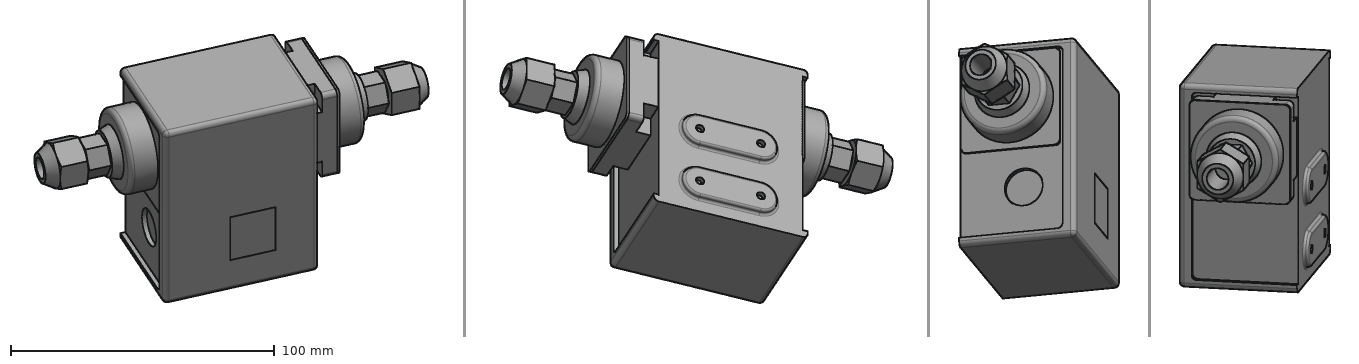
import cadquery as cq
import math


housing_left = -20.0
housing_width = 45.9
housing_depth = 63.0
housing_top = 23.0
housing_height = 80.0
edge_radius = 2.0

housing_right = housing_left + housing_width
housing_bottom = housing_top - housing_height
housing_face = housing_depth / 2

recess_depth = 2.0
recess_lip = 3.3
recess_lip_right = 5.0
recess_corner_radius = 2.0
recess_floor = housing_face - recess_depth

blind_hole_diameter = 15.0
blind_hole_depth = 2.0
blind_hole_x = 5.0
blind_hole_z = -35.1

pad_round_spacing = 25.0
pad_top_radius = 6.0
pad_edge_radius = 1.01
pad_y = 1.0
pad_heights = (-19.0, -44.0)
pad_height = 2 * pad_edge_radius
pad_hole_diameter = 3.3

plate_width = 18.4
plate_height = 20.0
plate_thickness = 0.1
plate_y = 4.7
plate_z = -32.9

flange_side = 39.0
flange_corner_radius = 2.0
flange_thickness = 1.01
block_depth = 12.0
notch_side = 8.0
notch_depth = 6.0

barrel_diameter = 34.0
barrel_length = 11.5
barrel_edge_radius = 2.0
collar_base_diameter = 21.5
collar_end_diameter = 18.4
collar_length = 4.0
shank_flats = 14.0
shank_length = 8.9
neck_diameter = 11.0
neck_length = 0.8
nut_flats = 18.0
nut_length = 11.4
nut_chamfer_length = 0.5
tip_diameter = 12.0
tip_length = 4.8
port_diameter = 8.5
port_depth = nut_length + tip_length

core_diameter = collar_base_diameter
front_flange_y = -recess_floor
back_flange_y = recess_floor + block_depth


def flange_plate(inner_y, thickness):
    """Square plate with rounded corners, reaching from inner_y towards +Y."""
    return (
        cq.Workplane("XZ", origin=(0, inner_y, 0))
        .rect(flange_side, flange_side)
        .extrude(-thickness)
        .edges("|Y")
        .fillet(flange_corner_radius)
    )


def rod(diameter, start_y, length):
    """Cylinder on the valve axis, reaching from start_y towards +Y."""
    return cq.Workplane("XZ", origin=(0, start_y, 0)).circle(diameter / 2).extrude(-length)


def cone(base_diameter, end_diameter, start_y, length):
    """Truncated cone on the valve axis, reaching from start_y towards +Y."""
    return cq.Workplane(
        cq.Solid.makeCone(
            base_diameter / 2, end_diameter / 2, length, cq.Vector(0, start_y, 0), cq.Vector(0, 1, 0)
        )
    )


def hexagon(flats, start_y, length):
    """Hexagonal prism with corners on the X axis, reaching from start_y towards +Y."""
    corners = flats / math.cos(math.pi / 6)
    return cq.Workplane("XZ", origin=(0, start_y, 0)).polygon(6, corners).extrude(-length)


def housing_recess(side):
    """Cutter for the recess in the front (side = -1) or back (side = 1) face."""
    width = housing_width - recess_lip_right
    height = housing_height - 2 * recess_lip
    return (
        cq.Workplane("XY")
        .box(width, recess_depth, height)
        .edges("|Y and >X")
        .fillet(recess_corner_radius)
        .translate((
            housing_left + width / 2,
            side * (housing_face - recess_depth / 2),
            housing_bottom + housing_height / 2,
        ))
    )


def mounting_block():
    """Block behind the housing with its four inner corners notched."""
    block = flange_plate(recess_floor, block_depth)
    corner = (flange_side - notch_side) / 2
    notches = (
        cq.Workplane("XZ", origin=(0, recess_floor, 0))
        .rect(2 * corner, 2 * corner, forConstruction=True)
        .vertices()
        .rect(notch_side, notch_side)
        .extrude(-notch_depth)
    )
    return block.cut(notches)


def raised_pad(z):
    """Oblong pad on the left face, with a flared foot, a rounded rim and two blind holes."""
    mid_radius = pad_top_radius + pad_edge_radius
    foot_radius = mid_radius + pad_edge_radius
    arc_reach = pad_edge_radius * math.sqrt(0.5)
    half_spacing = pad_round_spacing / 2

    half_section = (
        cq.Workplane("XZ")
        .lineTo(foot_radius, 0)
        .threePointArc(
            (foot_radius - arc_reach, pad_edge_radius - arc_reach), (mid_radius, pad_edge_radius)
        )
        .threePointArc(
            (pad_top_radius + arc_reach, pad_edge_radius + arc_reach), (pad_top_radius, pad_height)
        )
        .lineTo(0, pad_height)
        .close()
    )
    round_end = half_section.revolve(360, (0, 0, 0), (0, 1, 0))
    half_bar = half_section.toPending().extrude(half_spacing, both=True)
    pad = half_bar.union(half_bar.mirror("YZ"))
    for end in (-half_spacing, half_spacing):
        pad = pad.union(round_end.translate((0, end, 0)))
    pad = pad.faces(">Z").workplane(origin=(0, 0, pad_height))
    pad = pad.pushPoints([(0, -half_spacing), (0, half_spacing)]).hole(pad_hole_diameter, pad_height)
    return pad.rotate((0, 0, 0), (0, 1, 0), -90).translate((housing_left, pad_y, z))


def make_housing():
    body = (
        cq.Workplane("XY")
        .box(housing_width, housing_depth, housing_height)
        .translate((housing_left + housing_width / 2, 0, housing_bottom + housing_height / 2))
        .edges("not <X")
        .fillet(edge_radius)
    )
    for side in (-1, 1):
        body = body.cut(housing_recess(side))
    blind_hole = (
        cq.Workplane("XZ", origin=(blind_hole_x, -recess_floor, blind_hole_z))
        .circle(blind_hole_diameter / 2)
        .extrude(-blind_hole_depth)
    )
    body = body.cut(blind_hole).union(mounting_block())
    for z in pad_heights:
        body = body.union(raised_pad(z))
    thin_plate = (
        cq.Workplane("YZ", origin=(housing_right, plate_y, plate_z))
        .rect(plate_width, plate_height)
        .extrude(plate_thickness)
    )
    valve_bore = rod(core_diameter, front_flange_y, back_flange_y - front_flange_y)
    return body.union(thin_plate).cut(valve_bore)


def nut(start_y, chamfered):
    """Hexagonal nut with flats facing X; optionally its corners are chamfered at both ends."""
    body = hexagon(nut_flats, start_y, nut_length).rotate((0, 0, 0), (0, 1, 0), 30)
    if chamfered:
        corners = nut_flats / math.cos(math.pi / 6)
        blank = (
            cq.Workplane("XY")
            .moveTo(0, start_y)
            .lineTo(nut_flats / 2, start_y)
            .lineTo(corners / 2, start_y + nut_chamfer_length)
            .lineTo(corners / 2, start_y + nut_length - nut_chamfer_length)
            .lineTo(nut_flats / 2, start_y + nut_length)
            .lineTo(0, start_y + nut_length)
            .close()
            .revolve(360, (0, 0, 0), (0, 1, 0))
        )
        body = body.intersect(blank)
    return body


def valve_end(chamfered_nut):
    """Flange, barrel and pipe fitting, pointing to +Y from the flange's inner face at Y = 0."""
    barrel_start = flange_thickness
    collar_start = barrel_start + barrel_length
    shank_start = collar_start + collar_length
    neck_start = shank_start + shank_length
    nut_start = neck_start + neck_length
    tip_start = nut_start + nut_length
    port_start = tip_start + tip_length - port_depth

    barrel = rod(barrel_diameter, barrel_start, barrel_length).faces(">Y").edges().fillet(barrel_edge_radius)
    return (
        flange_plate(0, flange_thickness)
        .union(barrel)
        .union(cone(collar_base_diameter, collar_end_diameter, collar_start, collar_length))
        .union(hexagon(shank_flats, shank_start, shank_length))
        .union(rod(neck_diameter, neck_start, neck_length))
        .union(nut(nut_start, chamfered_nut))
        .union(cone(nut_flats, tip_diameter, tip_start, tip_length))
        .cut(rod(port_diameter, port_start, port_depth))
    )


def make_valve():
    core = rod(core_diameter, front_flange_y, back_flange_y - front_flange_y)
    front_end = valve_end(True).rotate((0, 0, 0), (0, 0, 1), 180).translate((0, front_flange_y, 0))
    back_end = valve_end(False).translate((0, back_flange_y, 0))
    return core.union(front_end).union(back_end)


housing = make_housing()
valve = make_valve()

result = cq.Compound.makeCompound([housing.val(), valve.val()])